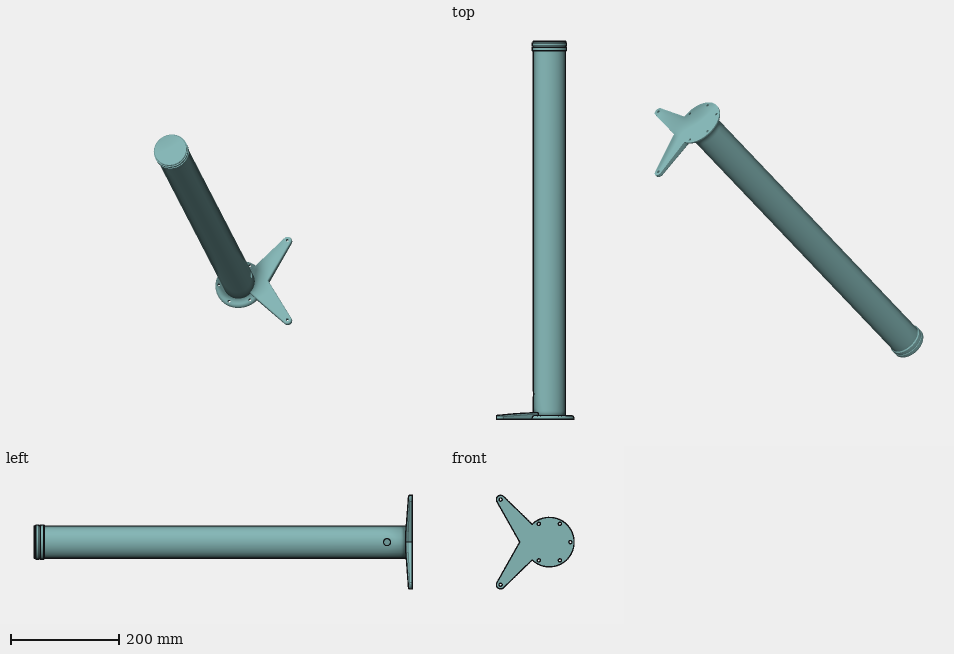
import cadquery as cq
import math

LEG_LENGTH = 700.0
PLATE_REACH = 144.19
PLATE_SPAN = 173.51

TUBE_RADIUS = 30.0
SIDE_HOLE_DIAMETER = 13.0
SIDE_HOLE_Y = 47.0
SIDE_HOLE_DEPTH = 5.0

CAP_LENGTH = 19.0
CAP_RING_RADIUS = 32.0
CAP_NECK_RADIUS = 30.5
CAP_END_RADIUS = 29.5
CAP_END_CHAMFER_LENGTH = 1.5
CAP_OUTER_RING = (3.5, 9.0)
CAP_INNER_RING = (12.0, 17.5)

DISC_RADIUS = 46.0
DISC_THICKNESS = 7.0
DISC_EDGE_FILLET = 6.0
DISC_HOLE_COUNT = 5
DISC_HOLE_PITCH = 60.0
DISC_HOLE_CIRCLE_RADIUS = 39.0

ARM_TIP_RADIUS = 8.0
ARM_TIP_X = DISC_RADIUS - PLATE_REACH + ARM_TIP_RADIUS
ARM_TIP_Z = PLATE_SPAN / 2 - ARM_TIP_RADIUS
ARM_CROTCH_X = -55.0
ARM_ROOT_X = -5.0
ARM_ROOT_Z = 7.0
ARM_OVERLAP = 10.0
ARM_HUB_HEIGHT = 14.0
ARM_END_HEIGHT = 7.3
ARM_EDGE_FILLET = 2.5

SCREW_HOLE_DIAMETER = 5.5


def plate_plane():
    """Sketch plane with local x = X and local y = Z; extrude by -h to go towards +Y."""
    return cq.Workplane("XZ")


def tangent_point(start, center, radius, side):
    """Point where the line from start touches a circle, on its left (+1) or right (-1)."""
    dx = center[0] - start[0]
    dy = center[1] - start[1]
    distance = math.hypot(dx, dy)
    reach = math.sqrt(distance**2 - radius**2)
    angle = math.atan2(dy, dx) + side * math.asin(radius / distance)
    return (start[0] + reach * math.cos(angle), start[1] + reach * math.sin(angle))


def make_tube():
    tube = plate_plane().circle(TUBE_RADIUS).extrude(-(LEG_LENGTH - CAP_LENGTH))
    side_hole = (
        cq.Workplane("YZ", origin=(-TUBE_RADIUS, 0, 0))
        .center(SIDE_HOLE_Y, 0)
        .circle(SIDE_HOLE_DIAMETER / 2)
        .extrude(SIDE_HOLE_DEPTH)
    )
    return tube.cut(side_hole)


def make_cap():
    """Turned cap with two raised rings; the inner ring tapers off towards the tube."""
    depth_profile = [
        (0, 0),
        (CAP_END_RADIUS, 0),
        (CAP_NECK_RADIUS, CAP_END_CHAMFER_LENGTH),
        (CAP_NECK_RADIUS, CAP_OUTER_RING[0]),
        (CAP_RING_RADIUS, CAP_OUTER_RING[0]),
        (CAP_RING_RADIUS, CAP_OUTER_RING[1]),
        (CAP_NECK_RADIUS, CAP_OUTER_RING[1]),
        (CAP_NECK_RADIUS, CAP_INNER_RING[0]),
        (CAP_RING_RADIUS, CAP_INNER_RING[0]),
        (CAP_RING_RADIUS, CAP_INNER_RING[1]),
        (CAP_NECK_RADIUS, CAP_LENGTH),
        (0, CAP_LENGTH),
    ]
    profile = [(radius, LEG_LENGTH - depth) for radius, depth in depth_profile]
    return cq.Workplane("XY").polyline(profile).close().revolve(360, (0, 0), (0, 1))


def make_disc():
    disc = plate_plane().circle(DISC_RADIUS).extrude(-DISC_THICKNESS)
    return disc.faces(">Y").edges().fillet(DISC_EDGE_FILLET)


def make_arm():
    """The arm on the +Z side, with a shallow conical back face and a rounded edge."""
    tip = (ARM_TIP_X, ARM_TIP_Z)
    tip_distance = math.hypot(*tip)
    end_distance = tip_distance + ARM_TIP_RADIUS
    arm_end = (tip[0] * end_distance / tip_distance, tip[1] * end_distance / tip_distance)
    root = (ARM_ROOT_X, ARM_ROOT_Z)
    crotch = (ARM_CROTCH_X, 0)
    outer = tangent_point(root, tip, ARM_TIP_RADIUS, -1)
    inner = tangent_point(crotch, tip, ARM_TIP_RADIUS, 1)
    inner_slope = (inner[1] - crotch[1]) / (inner[0] - crotch[0])
    overlap = (ARM_CROTCH_X + ARM_OVERLAP, inner_slope * ARM_OVERLAP)
    blank = (
        plate_plane()
        .moveTo(*root)
        .lineTo(*outer)
        .threePointArc(arm_end, inner)
        .lineTo(*overlap)
        .close()
        .extrude(-ARM_HUB_HEIGHT)
    )
    cone_profile = [
        (0, 0),
        (end_distance, 0),
        (end_distance, ARM_END_HEIGHT),
        (0, ARM_HUB_HEIGHT),
    ]
    cone = cq.Workplane("XY").polyline(cone_profile).close().revolve(360, (0, 0), (0, 1))
    upper_half = (
        plate_plane()
        .rect(2 * end_distance, end_distance)
        .extrude(-ARM_HUB_HEIGHT)
        .translate((0, 0, end_distance / 2))
    )
    arm = blank.intersect(cone)
    rounded = arm.faces("%CONE").edges("not >X").fillet(ARM_EDGE_FILLET)
    return rounded.intersect(upper_half)


def make_screw_holes():
    disc_angles = [
        math.radians(DISC_HOLE_PITCH * (i - DISC_HOLE_COUNT // 2)) for i in range(DISC_HOLE_COUNT)
    ]
    points = [
        (DISC_HOLE_CIRCLE_RADIUS * math.cos(a), DISC_HOLE_CIRCLE_RADIUS * math.sin(a))
        for a in disc_angles
    ]
    points += [(ARM_TIP_X, ARM_TIP_Z), (ARM_TIP_X, -ARM_TIP_Z)]
    return (
        plate_plane()
        .pushPoints(points)
        .circle(SCREW_HOLE_DIAMETER / 2)
        .extrude(-ARM_HUB_HEIGHT)
    )


arm = make_arm()
arms = arm.union(arm.mirror("XY"))
plate = make_disc().union(arms).cut(make_screw_holes())
result = plate.union(make_tube()).union(make_cap())